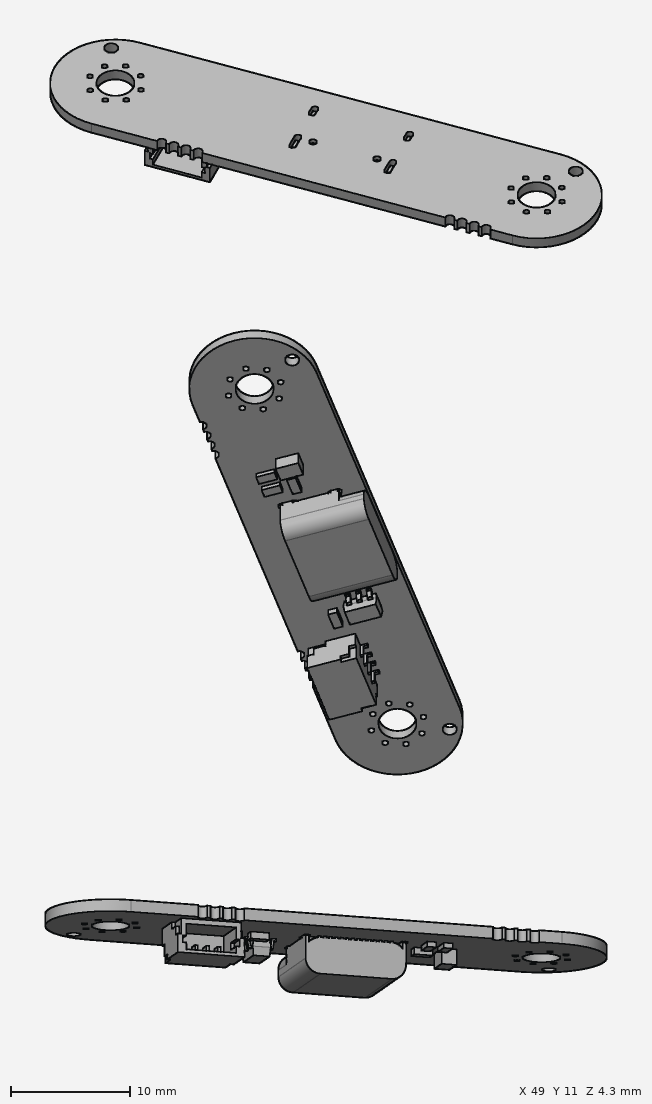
import cadquery as cq
import math


BOARD_LENGTH = 49.0
BOARD_WIDTH = 11.0
BOARD_THICKNESS = 1.05
END_CENTER_X = (BOARD_LENGTH - BOARD_WIDTH) / 2
CUT_HEIGHT = 3 * BOARD_THICKNESS

BORE_DIAMETER = 3.2
RING_HOLE_DIAMETER = 0.5
RING_HOLE_COUNT = 8
RING_RADIUS = 2.3
CORNER_HOLE_DIAMETER = 1.2
CORNER_HOLE_OFFSET_X = 1.95
CORNER_HOLE_Y = 3.95

NOTCH_WIDTH = 0.8
NOTCH_DEPTH = 0.45
NOTCHES_PER_ROW = 4
NOTCH_ROW_SPAN = 3.3
NOTCH_ROW_CENTERS_X = (-11.02, 15.0)

USB_X = 2.0
USB_WIDTH = 8.85
USB_FRONT_Y = BOARD_WIDTH / 2
USB_LENGTH = 7.4
USB_REAR_Y = USB_FRONT_Y - USB_LENGTH
USB_BOTTOM = 3.25
USB_GAP = 0.1
USB_CORNER_RADIUS = 1.25
USB_SHEET = 0.3
USB_WALL_FRONT_Y = 3.3
USB_BASE_WIDTH = 7.95
USB_BASE_HEIGHT = 0.3
USB_BASE_INSET = 0.5
USB_TAIL_COUNT = 14
USB_TAIL_ROW_SPAN = 6.35
USB_TAIL_WIDTH = 0.25
USB_TAIL_THICKNESS = 0.15
LEG_HEIGHT = 0.8
LEG_OFFSET_X = (USB_WIDTH - USB_SHEET) / 2
PEG_OFFSET_X = 2.9
PEG_Y = -0.75
PEG_DIAMETER = 0.5
PEG_CHAMFER = 0.122
PEG_HOLE_DIAMETER = 0.65
SLOT_WIDTH = 0.6
USB_LEGS = (
    (2.9, 1.2, 2.85, 0.6),
    (-1.22, 1.75, -1.25, 0.9),
)

PLUG_X = -11.6
PLUG_WIDTH = 5.9
PLUG_HEIGHT = 2.95
PLUG_REAR_Y = -0.3
PLUG_LENGTH = 4.25
PLUG_FRONT_Y = PLUG_REAR_Y - PLUG_LENGTH
CAVITY_WIDTH = 4.4
CAVITY_TOP = 0.45
CAVITY_BOTTOM = 2.65
CAVITY_DEPTH = 3.45
KEY_DEPTH = 1.45
KEY_WIDTH = 0.3
KEY_TOP = 1.45
KEY_BOTTOM = 2.05
CONTACT_COUNT = 4
CONTACT_ROW_SPAN = 3.0
CONTACT_WIDTH = 0.25
CONTACT_TOP = 1.6
CONTACT_BOTTOM = 2.25
CONTACT_LENGTH = 1.0
TAIL_DROP = 1.3
TAIL_FOOT = 0.65
TAIL_THICKNESS = 0.25
SIDE_RECESS = 0.3
TAB_SHORT, TAB_LONG = 0.6, 1.6
TAB_SHALLOW, TAB_DEEP = 0.6, 1.3
HEEL_SHORT, HEEL_LONG = 0.6, 1.3
HEEL_START, HEEL_STEP = 1.45, 2.5

CHIP_X = -5.7
CHIP_Y = 1.35
CHIP_WIDTH = 1.6
CHIP_LENGTH = 2.95
CHIP_TOP = 0.2
CHIP_MIDDLE = 0.85
CHIP_BOTTOM = 1.6
CHIP_DRAFT = 7.0
LEADS_PER_SIDE = 3
LEAD_ROW_SPAN = 1.85
LEAD_WIDTH = 0.4
LEAD_THICKNESS = 0.2
LEAD_SHOULDER = 1.1
LEAD_KNEE = 1.0
LEAD_TIP = 1.35

CAPACITOR_SIZE = (1.6, 0.8, 0.6)
CAPACITOR_PLACES = ((-6.35, -1.25), (8.5, 0.0))
RESISTOR_SIZE = (0.8, 1.6, 0.45)
RESISTOR_PLACES = ((8.45, -1.95), (9.9, -1.95))
BULK_CAPACITOR_SIZE = (1.3, 2.0, 1.3)
BULK_CAPACITOR_PLACE = (10.65, 0.3)


def box(x_range, y_range, z_range):
    """Axis-aligned box from three (low, high) pairs."""
    sizes = [high - low for low, high in (x_range, y_range, z_range)]
    corner = (x_range[0], y_range[0], z_range[0])
    return cq.Workplane("XY").box(*sizes, centered=False).translate(corner)


def hanging_box(x, y_range, width, top, bottom):
    """Box centred on x, between two depths below the board."""
    return box((x - width / 2, x + width / 2), y_range, (-bottom, -top))


def row(count, span):
    """Positions of an evenly spaced row of the given span, centred on zero."""
    return [span * (i / (count - 1) - 0.5) for i in range(count)]


def through(points):
    """Workplane for cutters that pass right through the board."""
    return cq.Workplane("XY").workplane(offset=-BOARD_THICKNESS).pushPoints(points)


def board_end_cutters():
    cutters = []
    for side in (-1, 1):
        center_x = side * END_CENTER_X
        ring = [
            (
                center_x + RING_RADIUS * math.cos(2 * math.pi * i / RING_HOLE_COUNT),
                RING_RADIUS * math.sin(2 * math.pi * i / RING_HOLE_COUNT),
            )
            for i in range(RING_HOLE_COUNT)
        ]
        corner = (center_x + side * CORNER_HOLE_OFFSET_X, CORNER_HOLE_Y)
        cutters.append(through([(center_x, 0)]).circle(BORE_DIAMETER / 2).extrude(CUT_HEIGHT))
        cutters.append(through(ring).circle(RING_HOLE_DIAMETER / 2).extrude(CUT_HEIGHT))
        cutters.append(through([corner]).circle(CORNER_HOLE_DIAMETER / 2).extrude(CUT_HEIGHT))
    return cutters


def board_notch_cutter():
    points = [
        (center_x + offset, -BOARD_WIDTH / 2)
        for center_x in NOTCH_ROW_CENTERS_X
        for offset in row(NOTCHES_PER_ROW, NOTCH_ROW_SPAN)
    ]
    return through(points).slot2D(2 * NOTCH_DEPTH, NOTCH_WIDTH, 90).extrude(CUT_HEIGHT)


def board_usb_cutters():
    cutters = []
    for side in (-1, 1):
        peg = (USB_X + side * PEG_OFFSET_X, PEG_Y)
        cutters.append(through([peg]).circle(PEG_HOLE_DIAMETER / 2).extrude(CUT_HEIGHT))
        for slot_y, slot_length, _, _ in USB_LEGS:
            place = (USB_X + side * LEG_OFFSET_X, slot_y)
            cutters.append(through([place]).slot2D(slot_length, SLOT_WIDTH, 90).extrude(CUT_HEIGHT))
    return cutters


def make_board():
    body = cq.Workplane("XY").slot2D(BOARD_LENGTH, BOARD_WIDTH).extrude(BOARD_THICKNESS)
    for cutter in [*board_end_cutters(), board_notch_cutter(), *board_usb_cutters()]:
        body = body.cut(cutter)
    return body


def make_usb_socket():
    full_y = (USB_REAR_Y, USB_FRONT_Y)
    wall_y = (USB_REAR_Y, USB_WALL_FRONT_Y)
    body = hanging_box(USB_X, full_y, USB_WIDTH, USB_GAP, USB_BOTTOM)
    body = body.edges("|Y").fillet(USB_CORNER_RADIUS)
    base_y = (USB_REAR_Y + USB_BASE_INSET, USB_WALL_FRONT_Y)
    tail_y = (USB_REAR_Y, base_y[0])
    body = body.union(hanging_box(USB_X, base_y, USB_BASE_WIDTH, 0, USB_BASE_HEIGHT))
    for offset in row(USB_TAIL_COUNT, USB_TAIL_ROW_SPAN):
        tail = hanging_box(USB_X + offset, tail_y, USB_TAIL_WIDTH, 0, USB_TAIL_THICKNESS)
        body = body.union(tail)
    for side in (-1, 1):
        wall_x = USB_X + side * LEG_OFFSET_X
        body = body.union(hanging_box(wall_x, wall_y, USB_SHEET, 0, USB_BOTTOM / 2))
        for _, _, leg_y, leg_length in USB_LEGS:
            leg_range = (leg_y - leg_length / 2, leg_y + leg_length / 2)
            body = body.union(hanging_box(wall_x, leg_range, USB_SHEET, -LEG_HEIGHT, USB_GAP))
        peg = cq.Workplane("XY").center(USB_X + side * PEG_OFFSET_X, PEG_Y).circle(PEG_DIAMETER / 2)
        body = body.union(peg.extrude(LEG_HEIGHT).faces(">Z").chamfer(PEG_CHAMFER))
    return body


def plug_side_recesses():
    """Stepped recesses in both side walls: solder tabs at the front, a heel at the rear."""
    cutters = []
    for side in (-1, 1):
        x = PLUG_X + side * (PLUG_WIDTH - SIDE_RECESS) / 2
        steps = (
            ((PLUG_FRONT_Y, PLUG_FRONT_Y + TAB_LONG), 0, TAB_SHALLOW),
            ((PLUG_FRONT_Y, PLUG_FRONT_Y + TAB_SHORT), 0, TAB_DEEP),
            ((PLUG_REAR_Y - HEEL_SHORT, PLUG_REAR_Y), HEEL_START, PLUG_HEIGHT),
            ((PLUG_REAR_Y - HEEL_LONG, PLUG_REAR_Y), HEEL_STEP, PLUG_HEIGHT),
        )
        for y_range, top, bottom in steps:
            cutters.append(hanging_box(x, y_range, SIDE_RECESS, top, bottom))
    return cutters


def make_wire_connector():
    cavity_y = (PLUG_FRONT_Y, PLUG_FRONT_Y + CAVITY_DEPTH)
    body = hanging_box(PLUG_X, (PLUG_FRONT_Y, PLUG_REAR_Y), PLUG_WIDTH, 0, PLUG_HEIGHT)
    body = body.cut(hanging_box(PLUG_X, cavity_y, CAVITY_WIDTH, CAVITY_TOP, CAVITY_BOTTOM))
    key_y = (PLUG_FRONT_Y, PLUG_FRONT_Y + KEY_DEPTH)
    body = body.cut(hanging_box(PLUG_X, key_y, CAVITY_WIDTH + 2 * KEY_WIDTH, KEY_TOP, KEY_BOTTOM))
    for cutter in plug_side_recesses():
        body = body.cut(cutter)
    contact_y = (cavity_y[1] - CONTACT_LENGTH, cavity_y[1])
    tail_y = (PLUG_REAR_Y, PLUG_REAR_Y + TAIL_THICKNESS)
    foot_y = (PLUG_REAR_Y, PLUG_REAR_Y + TAIL_FOOT)
    for offset in row(CONTACT_COUNT, CONTACT_ROW_SPAN):
        x = PLUG_X + offset
        body = body.union(hanging_box(x, contact_y, CONTACT_WIDTH, CONTACT_TOP, CONTACT_BOTTOM))
        body = body.union(hanging_box(x, tail_y, CONTACT_WIDTH, 0, TAIL_DROP))
        body = body.union(hanging_box(x, foot_y, CONTACT_WIDTH, 0, TAIL_THICKNESS))
    return body


def chip_lead_pair(y):
    """A left and a right gull-wing lead at one Y."""
    shoulder_top = -CHIP_MIDDLE + LEAD_THICKNESS / 2
    shoulder_bottom = -CHIP_MIDDLE - LEAD_THICKNESS / 2
    profile = [
        (0, shoulder_top),
        (LEAD_KNEE - LEAD_THICKNESS / 2, shoulder_top),
        (LEAD_KNEE, 0),
        (LEAD_TIP, 0),
        (LEAD_TIP, -LEAD_THICKNESS),
        (LEAD_SHOULDER + LEAD_THICKNESS / 2, -LEAD_THICKNESS),
        (LEAD_SHOULDER, shoulder_bottom),
        (0, shoulder_bottom),
    ]
    half = cq.Workplane("XZ").polyline(profile).close().extrude(LEAD_WIDTH / 2, both=True)
    return half.union(half.mirror("YZ")).translate((CHIP_X, y, 0))


def make_chip():
    body = cq.Workplane("XY")
    for height in (CHIP_MIDDLE - CHIP_TOP, CHIP_MIDDLE - CHIP_BOTTOM):
        middle = cq.Workplane("XY").workplane(offset=-CHIP_MIDDLE).center(CHIP_X, CHIP_Y)
        body = body.union(middle.rect(CHIP_WIDTH, CHIP_LENGTH).extrude(height, taper=CHIP_DRAFT))
    for offset in row(LEADS_PER_SIDE, LEAD_ROW_SPAN):
        body = body.union(chip_lead_pair(CHIP_Y + offset))
    return body


def make_block(size, place):
    """Plain rectangular component hanging from the board."""
    width, length, height = size
    x, y = place
    return hanging_box(x, (y - length / 2, y + length / 2), width, 0, height)


board = make_board()
usb_socket = make_usb_socket()
wire_connector = make_wire_connector()
chip = make_chip()
capacitors = [make_block(CAPACITOR_SIZE, place) for place in CAPACITOR_PLACES]
resistors = [make_block(RESISTOR_SIZE, place) for place in RESISTOR_PLACES]
bulk_capacitor = make_block(BULK_CAPACITOR_SIZE, BULK_CAPACITOR_PLACE)

result = cq.Compound.makeCompound([
    board.val(),
    usb_socket.val(),
    wire_connector.val(),
    chip.val(),
    *[capacitor.val() for capacitor in capacitors],
    *[resistor.val() for resistor in resistors],
    bulk_capacitor.val(),
])